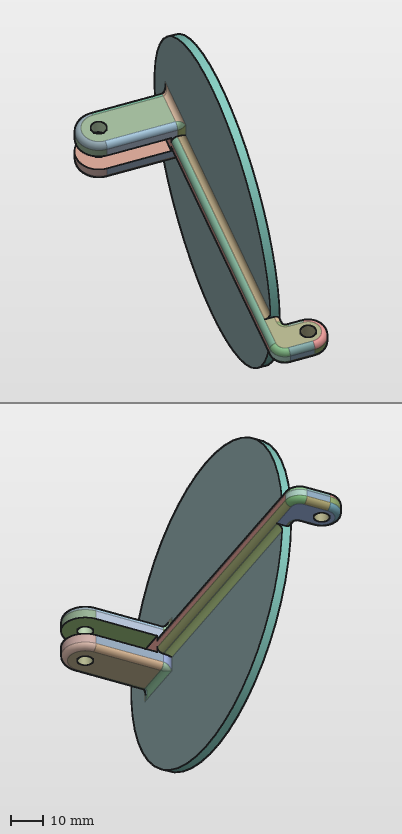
import cadquery as cq

disc_diameter = 106.0
disc_thickness = 3.0
disc_radius = disc_diameter / 2

pin_hole_diameter = 5.0
edge_radius = 1.9

clevis_x = -34.0
clevis_width = 15.0
clevis_height = 16.0
clevis_reach = 32.5
slot_height = 6.0
slot_floor = 4.0
clevis_end_radius = clevis_width / 2
clevis_pin_y = clevis_end_radius - clevis_reach

arm_depth = 4.0
arm_height = 6.0
arm_end_x = 121 - disc_radius
lug_width = 12.0
lug_top_y = 15.0
lug_radius = lug_width / 2
lug_x = arm_end_x - lug_radius
lug_pin_y = lug_top_y - lug_radius
heel_radius = 5.0
crook_radius = 1.0


def prism_z(outline, height):
    """Extrude an XY outline symmetrically about z = 0."""
    return outline.extrude(height / 2, both=True)


def pin_hole(x, y, height):
    return prism_z(cq.Workplane("XY").center(x, y).circle(pin_hole_diameter / 2), height)


def make_disc():
    return cq.Workplane("XZ").circle(disc_radius).extrude(-disc_thickness)


def make_arm():
    """Bar and upturned lug, with rounded edges all along both flanks."""
    outline = (
        cq.Workplane("XY")
        .moveTo(clevis_x, -arm_depth)
        .lineTo(arm_end_x - heel_radius, -arm_depth)
        .radiusArc((arm_end_x, heel_radius - arm_depth), -heel_radius)
        .lineTo(arm_end_x, lug_pin_y)
        .threePointArc((lug_x, lug_top_y), (lug_x - lug_radius, lug_pin_y))
        .lineTo(lug_x - lug_radius, disc_thickness + crook_radius)
        .radiusArc((lug_x - lug_radius - crook_radius, disc_thickness), crook_radius)
        .lineTo(clevis_x, disc_thickness)
        .close()
    )
    bar = prism_z(outline, arm_height)
    return bar.faces("<Z or >Z").edges("not <X").fillet(edge_radius)


def make_clevis_block():
    """Round-ended block, still square-edged and without its slot."""
    outline = (
        cq.Workplane("XY")
        .moveTo(clevis_x - clevis_end_radius, disc_thickness)
        .lineTo(clevis_x - clevis_end_radius, clevis_pin_y)
        .threePointArc(
            (clevis_x, -clevis_reach),
            (clevis_x + clevis_end_radius, clevis_pin_y),
        )
        .lineTo(clevis_x + clevis_end_radius, disc_thickness)
        .close()
    )
    return prism_z(outline, clevis_height)


def make_clevis_slot():
    slot_length = clevis_reach - slot_floor
    slot_y = -slot_floor - slot_length / 2
    return cq.Workplane("XY").box(clevis_width, slot_length, slot_height).translate((clevis_x, slot_y, 0))


body = make_disc().union(make_arm()).union(make_clevis_block())

selection_margin = 0.1
root_zone = cq.selectors.BoxSelector(
    (-disc_radius, -selection_margin, -clevis_height),
    (disc_radius - selection_margin, selection_margin, clevis_height),
)
body = body.edges(root_zone).edges("|X or |Z").fillet(edge_radius)

outer_edge_zones = [
    cq.selectors.BoxSelector(
        (clevis_x - clevis_width, -clevis_reach - selection_margin, side * clevis_height / 2 - selection_margin),
        (clevis_x + clevis_width, -edge_radius, side * clevis_height / 2 + selection_margin),
    )
    for side in (-1, 1)
]
body = body.edges(outer_edge_zones[0] + outer_edge_zones[1]).edges("not |X").fillet(edge_radius)

body = body.cut(make_clevis_slot())
body = body.cut(pin_hole(clevis_x, clevis_pin_y, clevis_height))
result = body.cut(pin_hole(lug_x, lug_pin_y, arm_height))